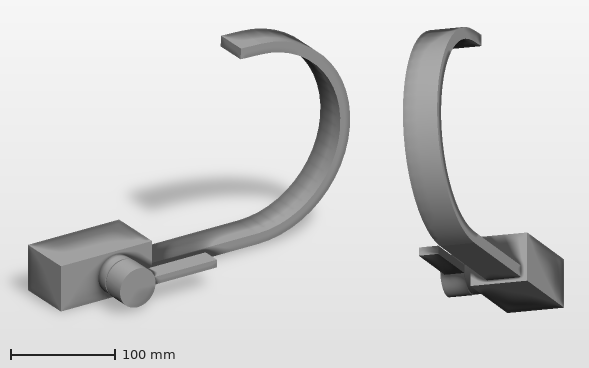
import cadquery as cq
import math

TOTAL_HEIGHT = 216.5
TOTAL_LENGTH = 343.0

HOUSING_WIDTH = 58.0
HOUSING_LENGTH = 104.5
HOUSING_HEIGHT = 48.0

SPOUT_WIDTH = 35.0
SPOUT_THICKNESS = 11.3
SPOUT_SIDE_OFFSET = 6.2
SPOUT_BOTTOM = 4.0
SPOUT_TIP_LENGTH = 23.3
SPOUT_TIP_RISE_ANGLE = 2.0
TIP_SIN = math.sin(math.radians(SPOUT_TIP_RISE_ANGLE))
TIP_COS = math.cos(math.radians(SPOUT_TIP_RISE_ANGLE))
SPOUT_OUTER_RADIUS = (TOTAL_HEIGHT - SPOUT_BOTTOM - SPOUT_TIP_LENGTH * TIP_SIN) / (1 + TIP_COS)
SPOUT_INNER_RADIUS = SPOUT_OUTER_RADIUS - SPOUT_THICKNESS
BEND_Y = TOTAL_LENGTH - SPOUT_OUTER_RADIUS
BEND_Z = SPOUT_BOTTOM + SPOUT_OUTER_RADIUS

CONTROL_Y = 63.0
CONTROL_Z = HOUSING_HEIGHT / 2
COLLAR_DIAMETER = 40.0
COLLAR_LENGTH = 12.0
NECK_DIAMETER = 38.0
NECK_LENGTH = 2.0
KNOB_DIAMETER = 40.8
KNOB_LENGTH = 24.5
KNOB_X = HOUSING_WIDTH + COLLAR_LENGTH + NECK_LENGTH
LEVER_WIDTH = 20.0
LEVER_THICKNESS = 8.2
LEVER_TIP_Y = 156.7


def make_housing():
    return cq.Workplane("XY").box(HOUSING_WIDTH, HOUSING_LENGTH, HOUSING_HEIGHT, centered=False)


def bend_end(radius):
    """Point (y, z) where the bend of the given radius runs into the straight tip."""
    return BEND_Y + radius * TIP_SIN, BEND_Z + radius * TIP_COS


def tip_end(radius):
    """Point (y, z) at the free end of the tip, continuing the bend of the given radius."""
    start_y, start_z = bend_end(radius)
    return start_y - SPOUT_TIP_LENGTH * TIP_COS, start_z + SPOUT_TIP_LENGTH * TIP_SIN


def make_spout():
    """Bent bar with its profile in the YZ plane, butted against the housing."""
    return (
        cq.Workplane("YZ", origin=(SPOUT_SIDE_OFFSET, 0, 0))
        .moveTo(HOUSING_LENGTH, SPOUT_BOTTOM)
        .lineTo(BEND_Y, SPOUT_BOTTOM)
        .threePointArc((TOTAL_LENGTH, BEND_Z), bend_end(SPOUT_OUTER_RADIUS))
        .lineTo(*tip_end(SPOUT_OUTER_RADIUS))
        .lineTo(*tip_end(SPOUT_INNER_RADIUS))
        .lineTo(*bend_end(SPOUT_INNER_RADIUS))
        .threePointArc(
            (BEND_Y + SPOUT_INNER_RADIUS, BEND_Z),
            (BEND_Y, SPOUT_BOTTOM + SPOUT_THICKNESS),
        )
        .lineTo(HOUSING_LENGTH, SPOUT_BOTTOM + SPOUT_THICKNESS)
        .close()
        .extrude(SPOUT_WIDTH)
    )


def make_control_disc(start_x, diameter, length):
    """Cylinder on the control axis, running in +X from start_x."""
    return (
        cq.Workplane("YZ", origin=(start_x, CONTROL_Y, CONTROL_Z))
        .circle(diameter / 2)
        .extrude(length)
    )


def make_collar():
    """Round collar with a slightly smaller neck that carries the knob."""
    collar = make_control_disc(HOUSING_WIDTH, COLLAR_DIAMETER, COLLAR_LENGTH)
    neck = make_control_disc(HOUSING_WIDTH + COLLAR_LENGTH, NECK_DIAMETER, NECK_LENGTH)
    return collar.union(neck)


def make_knob():
    return make_control_disc(KNOB_X, KNOB_DIAMETER, KNOB_LENGTH)


def make_lever(knob):
    """Flat bar flush with the knob's inner face; its root follows the knob's round side."""
    bar = cq.Workplane("XY").box(
        LEVER_WIDTH, LEVER_TIP_Y - CONTROL_Y, LEVER_THICKNESS, centered=(False, False, True)
    )
    return bar.translate((KNOB_X, CONTROL_Y, CONTROL_Z)).cut(knob)


housing = make_housing()
spout = make_spout()
collar = make_collar()
knob = make_knob()
lever = make_lever(knob)

result = cq.Compound.makeCompound(
    [housing.val(), spout.val(), collar.val(), knob.val(), lever.val()]
)